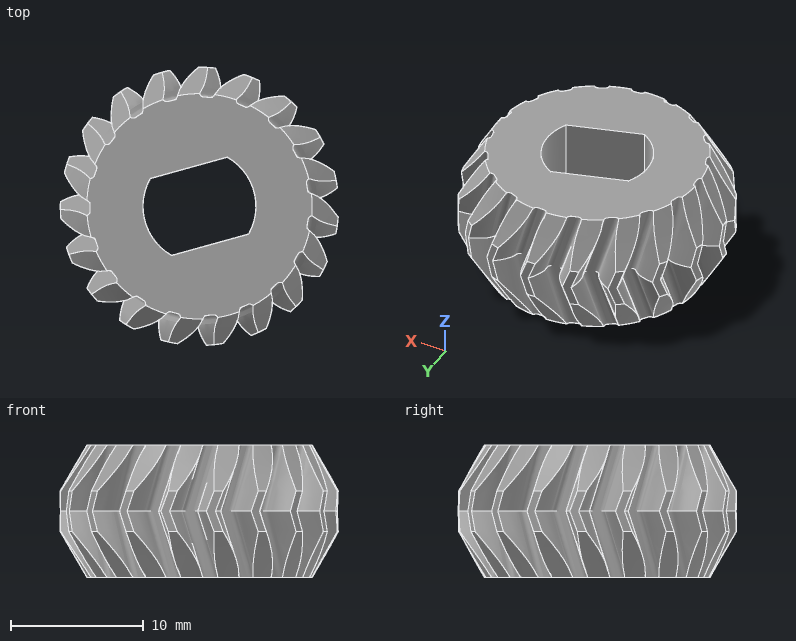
import math

import cadquery as cq

module = 1.0
tooth_count = 19
pressure_angle = math.radians(20)
pitch_radius = module * tooth_count / 2
base_radius = pitch_radius * math.cos(pressure_angle)
tip_radius = pitch_radius + module
dedendum = 1.25 * module
root_radius = pitch_radius - dedendum
root_fillet = 0.35 * module

face_width = 10.0
half_width = face_width / 2
helix_angle = math.radians(18.88)
half_twist = math.degrees(half_width * math.tan(helix_angle) / pitch_radius)

end_face_radius = 8.5
bevel_angle = math.radians(30)
bevel_height = (tip_radius - end_face_radius) / math.tan(bevel_angle)

bore_diameter = 8.5
bore_across_flats = 6.0
bore_flat_angle = 15.5

flank_samples = 5


def polar(radius, angle):
    return (radius * math.cos(angle), radius * math.sin(angle))


def involute_angle(radius):
    """Angle an involute has swept from the base circle out to the given radius."""
    roll = math.sqrt((radius / base_radius) ** 2 - 1)
    return roll - math.atan(roll)


pitch_angle = 2 * math.pi / tooth_count
base_half_gap = pitch_angle / 4 - involute_angle(pitch_radius)

fillet_centre_radius = root_radius + root_fillet
fillet_angle = math.asin(root_fillet / fillet_centre_radius)
fillet_top_radius = fillet_centre_radius * math.cos(fillet_angle)


def flank_points(gap_angle, side):
    """Points from base circle to tip on one flank of a gap; side is -1 or +1."""
    points = []
    for i in range(flank_samples):
        fraction = (i / (flank_samples - 1)) ** 2
        radius = base_radius + (tip_radius - base_radius) * fraction
        points.append(polar(radius, gap_angle + side * (base_half_gap + involute_angle(radius))))
    return points


def fillet_midpoint(gap_angle, side):
    """Middle of the root fillet arc on one side of a gap."""
    centre_angle = gap_angle + side * (base_half_gap - fillet_angle)
    centre_x, centre_y = polar(fillet_centre_radius, centre_angle)
    half_arc = math.pi / 4 + fillet_angle / 2
    offset_x, offset_y = polar(root_fillet, centre_angle + math.pi - side * half_arc)
    return (centre_x + offset_x, centre_y + offset_y)


def gear_outline():
    """Closed gear profile: filleted roots with radial walls below involute flanks, one gap facing +X."""
    root_half_angle = base_half_gap - fillet_angle
    outline = cq.Workplane("XY").moveTo(*flank_points(0, -1)[-1])
    for tooth in range(tooth_count):
        gap_angle = tooth * pitch_angle
        falling_flank = flank_points(gap_angle, -1)[::-1]
        rising_flank = flank_points(gap_angle, 1)
        next_tip = flank_points(gap_angle + pitch_angle, -1)[-1]
        outline = (
            outline.spline(falling_flank[1:], includeCurrent=True)
            .lineTo(*polar(fillet_top_radius, gap_angle - base_half_gap))
            .threePointArc(fillet_midpoint(gap_angle, -1), polar(root_radius, gap_angle - root_half_angle))
            .threePointArc(polar(root_radius, gap_angle), polar(root_radius, gap_angle + root_half_angle))
            .threePointArc(
                fillet_midpoint(gap_angle, 1),
                polar(fillet_top_radius, gap_angle + base_half_gap),
            )
            .lineTo(*rising_flank[0])
            .spline(rising_flank[1:], includeCurrent=True)
            .threePointArc(polar(tip_radius, gap_angle + pitch_angle / 2), next_tip)
        )
    return outline.close()


def bevelled_blank():
    """Upper half of the turned blank, from the mid plane to the end face."""
    return (
        cq.Workplane("XZ")
        .polyline(
            [
                (0, 0),
                (tip_radius, 0),
                (tip_radius, half_width - bevel_height),
                (end_face_radius, half_width),
                (0, half_width),
            ]
        )
        .close()
        .revolve(360, (0, 0, 0), (0, 1, 0))
    )


def bore():
    round_bore = cq.Workplane("XY").circle(bore_diameter / 2).extrude(half_width, both=True)
    flats = cq.Workplane("XY").box(bore_diameter, bore_across_flats, face_width)
    return round_bore.intersect(flats).rotate((0, 0, 0), (0, 0, 1), bore_flat_angle)


helical_half = gear_outline().twistExtrude(half_width, half_twist)
upper_half = helical_half.intersect(bevelled_blank())
lower_half = upper_half.mirror("XY")
result = upper_half.union(lower_half, glue=True).cut(bore())